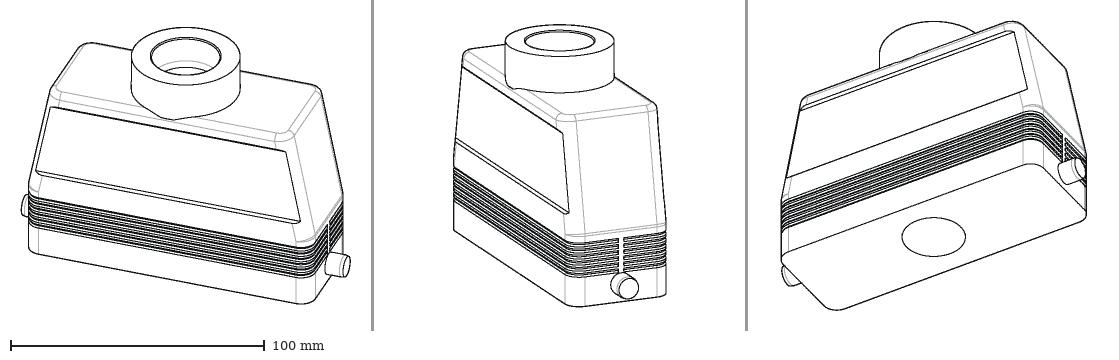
import cadquery as cq

BODY_LENGTH = 120.0
BODY_WIDTH = 43.0
BODY_HEIGHT = 76.0
TOP_LENGTH = 101.4
KINK_HEIGHT = 29.5
KINK_RADIUS = 5.0
CORNER_RADIUS = 6.0
TOP_EDGE_RADIUS = 2.5

COLLAR_DIAMETER = BODY_WIDTH
COLLAR_TOP = 91.0
COLLAR_SINK = 1.6
BORE_DIAMETER = 27.0
BORE_DEPTH = 10.6
BORE_CHAMFER = 0.5
SEAT_HEIGHT = 2.4
SEAT_RADIUS = 2.0
PASSAGE_DIAMETER = 25.0

PANEL_DEPTH = 1.0
PANEL_BOTTOM = 37.0
PANEL_TOP = 70.0

GROOVE_COUNT = 6
GROOVE_PITCH = 2.5
GROOVE_LOWEST = 13.0
GROOVE_WIDTH = 1.6
GROOVE_DEPTH = 0.5
GROOVE_GAP = 2.5

PIN_DIAMETER = 9.0
PIN_SPAN = 135.0
PIN_HEIGHT = 7.5
PIN_TIP_LENGTH = 1.4
PIN_TIP_INSET = 0.3


def hood_body():
    """Block with straight lower walls, tapered upper ends and rounded corners and top rim."""
    half_base = BODY_LENGTH / 2
    half_top = TOP_LENGTH / 2
    body = (
        cq.Workplane("XZ")
        .polyline([
            (-half_base, 0),
            (half_base, 0),
            (half_base, KINK_HEIGHT),
            (half_top, BODY_HEIGHT),
            (-half_top, BODY_HEIGHT),
            (-half_base, KINK_HEIGHT),
        ])
        .close()
        .extrude(BODY_WIDTH / 2, both=True)
    )
    body = body.edges("|Y").edges(">>Z[-2]").fillet(KINK_RADIUS)
    body = body.faces("<Y or >Y").edges("not |X").fillet(CORNER_RADIUS)
    return body.faces(">Z").edges().fillet(TOP_EDGE_RADIUS)


def collar():
    """Round cable collar, sunk slightly into the rounded top rim."""
    base = BODY_HEIGHT - COLLAR_SINK
    height = COLLAR_TOP - base
    return cq.Workplane("XY", origin=(0, 0, base)).circle(COLLAR_DIAMETER / 2).extrude(height)


def cable_passage():
    """Chamfered bore that narrows over a hollow, rounded seat to a passage reaching the base."""
    bore_radius = BORE_DIAMETER / 2
    passage_radius = PASSAGE_DIAMETER / 2
    bore_floor = COLLAR_TOP - BORE_DEPTH
    return (
        cq.Workplane("XZ")
        .lineTo(passage_radius, 0)
        .lineTo(passage_radius, bore_floor - SEAT_HEIGHT)
        .radiusArc((bore_radius, bore_floor), -SEAT_RADIUS)
        .lineTo(bore_radius, COLLAR_TOP - BORE_CHAMFER)
        .lineTo(bore_radius + BORE_CHAMFER, COLLAR_TOP)
        .lineTo(0, COLLAR_TOP)
        .close()
        .revolve(360, (0, 0, 0), (0, 1, 0))
    )


def side_panels():
    """Shallow recesses running the full length in both long sides, with 45 degree upper and lower walls."""
    outer = BODY_WIDTH / 2
    floor = outer - PANEL_DEPTH
    panel = (
        cq.Workplane("YZ")
        .polyline([
            (outer, PANEL_BOTTOM),
            (floor, PANEL_BOTTOM + PANEL_DEPTH),
            (floor, PANEL_TOP - PANEL_DEPTH),
            (outer, PANEL_TOP),
        ])
        .close()
        .extrude(BODY_LENGTH / 2, both=True)
    )
    return panel.union(panel.mirror("XZ"))


def grip_grooves():
    """V grooves running around the body, interrupted at the middle of both ends."""
    half_width = GROOVE_WIDTH / 2
    plan = cq.Workplane("XY").rect(BODY_LENGTH, BODY_WIDTH).extrude(GROOVE_WIDTH)
    path = plan.edges("|Z").fillet(CORNER_RADIUS).faces("<Z").wires()
    ring = (
        cq.Workplane("YZ", origin=(0, -BODY_WIDTH / 2, 0))
        .polyline([(0, -half_width), (GROOVE_DEPTH, 0), (0, half_width)])
        .close()
        .sweep(path)
    )
    end_gap = cq.Workplane("XY").box(2 * BODY_LENGTH, GROOVE_GAP, 2 * GROOVE_WIDTH)
    ring = ring.cut(end_gap)
    grooves = cq.Workplane("XY")
    for index in range(GROOVE_COUNT):
        grooves = grooves.add(ring.translate((0, 0, GROOVE_LOWEST + index * GROOVE_PITCH)))
    return grooves.combine()


def locking_pins():
    """One bar through both ends of the body, with long shallow chamfers at the tips."""
    axis = cq.Workplane("YZ", origin=(0, 0, PIN_HEIGHT))
    bar = axis.circle(PIN_DIAMETER / 2).extrude(PIN_SPAN / 2, both=True)
    return bar.faces("<X or >X").chamfer(PIN_TIP_LENGTH, PIN_TIP_INSET)


result = (
    hood_body()
    .cut(side_panels())
    .cut(grip_grooves())
    .union(collar())
    .union(locking_pins())
    .cut(cable_passage())
    .solids()
)